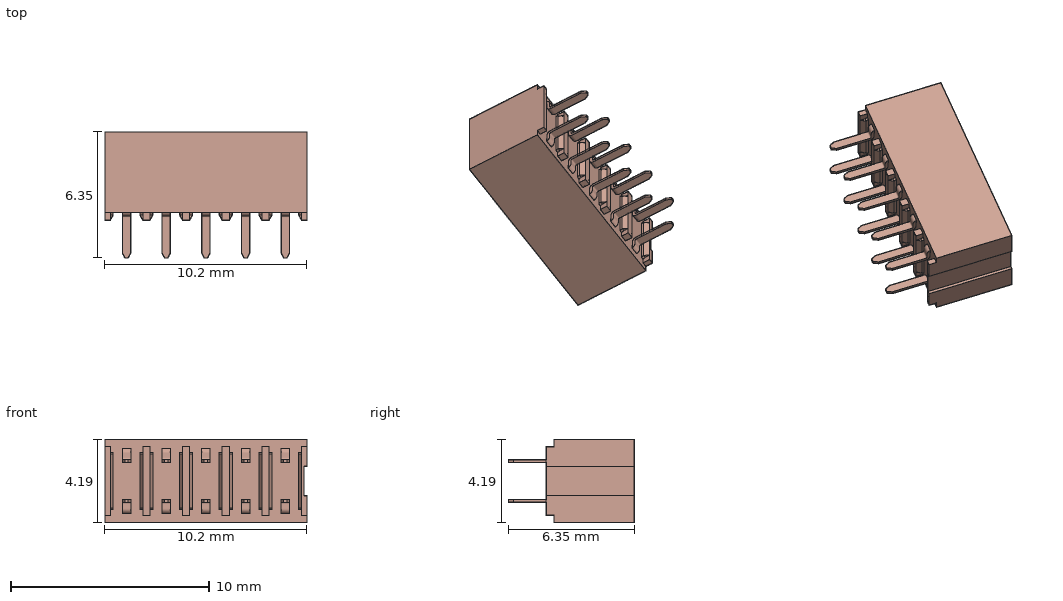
import cadquery as cq
import math

PITCH = 2.0
PINS_PER_ROW = 5
HOUSING_LENGTH = 10.19
HOUSING_HEIGHT = 4.19
OVERALL_DEPTH = 6.35
PIN_REACH = 2.29
HOUSING_DEPTH = OVERALL_DEPTH - PIN_REACH

NOTCH_HEIGHT = 1.48
NOTCH_DEPTH = 0.15

RIB_WIDTH = 0.36
RIB_HEIGHT = 3.47
RIB_REACH = 0.39

BUTTRESS_WIDTH = 0.66
BUTTRESS_STEP = 0.126
BUTTRESS_HEIGHT = 2.87
BUTTRESS_END_SLOPE = 0.07

PIN_WIDTH = 0.43
PIN_THICKNESS = 0.16
PIN_ROW_Z = 1.0
PIN_LEG_GAP = 0.02
PIN_BEND_TOP_Z = 1.65
BEND_INNER_RADIUS = 0.08
BEND_OUTER_RADIUS = BEND_INNER_RADIUS + PIN_THICKNESS
TIP_WIDTH = 0.17
TIP_LENGTH = 0.25
PIN_ROOT_DEPTH = 0.3


def make_housing():
    housing = cq.Workplane("XY").box(
        HOUSING_LENGTH, HOUSING_DEPTH, HOUSING_HEIGHT, centered=(True, False, True)
    )
    return housing


def make_rib(x):
    """Rectangular rib with tapered flanks, running along Z."""
    rib = cq.Workplane("XY").box(RIB_WIDTH, RIB_REACH, RIB_HEIGHT)
    rib = rib.translate((x, -RIB_REACH / 2, 0))

    half_base = BUTTRESS_WIDTH / 2
    half_tip = RIB_WIDTH / 2
    buttress = (
        cq.Workplane("XY")
        .moveTo(-half_base, 0)
        .lineTo(-half_base, -BUTTRESS_STEP)
        .lineTo(-half_tip, -RIB_REACH)
        .lineTo(half_tip, -RIB_REACH)
        .lineTo(half_base, -BUTTRESS_STEP)
        .lineTo(half_base, 0)
        .close()
        .extrude(BUTTRESS_HEIGHT / 2, both=True)
    )

    half_height = BUTTRESS_HEIGHT / 2
    level_z = half_height - BUTTRESS_END_SLOPE
    side_outline = (
        cq.Workplane("YZ")
        .moveTo(0, -half_height)
        .lineTo(-BUTTRESS_STEP, -level_z)
        .lineTo(-RIB_REACH, -level_z)
        .lineTo(-RIB_REACH, level_z)
        .lineTo(-BUTTRESS_STEP, level_z)
        .lineTo(0, half_height)
        .close()
        .extrude(BUTTRESS_WIDTH / 2, both=True)
    )
    buttress = buttress.intersect(side_outline).translate((x, 0, 0))
    return rib.union(buttress)


def make_ribs():
    """Ribs stand midway between pins; the end ribs are cut off flush with the housing sides."""
    first_x = -PINS_PER_ROW * PITCH / 2
    ribs = make_rib(first_x)
    for index in range(1, PINS_PER_ROW + 1):
        ribs = ribs.union(make_rib(first_x + index * PITCH))
    envelope = cq.Workplane("XY").box(HOUSING_LENGTH, 2 * RIB_REACH, HOUSING_HEIGHT)
    return ribs.intersect(envelope)


def make_notch():
    length = HOUSING_DEPTH + RIB_REACH
    notch = cq.Workplane("XY").box(2 * NOTCH_DEPTH, length, NOTCH_HEIGHT)
    return notch.translate((HOUSING_LENGTH / 2, length / 2 - RIB_REACH, 0))


def make_upper_pin():
    """S-bent flat pin at x = 0: root inside the housing, leg down the face, straight pointed tail."""
    tail_top = PIN_ROW_Z + PIN_THICKNESS / 2
    tail_bottom = PIN_ROW_Z - PIN_THICKNESS / 2
    root_bottom = PIN_BEND_TOP_Z - PIN_THICKNESS
    leg_back_y = -PIN_LEG_GAP
    leg_front_y = leg_back_y - PIN_THICKNESS
    root_bend_y = leg_back_y + BEND_INNER_RADIUS
    root_bend_z = PIN_BEND_TOP_Z - BEND_OUTER_RADIUS
    tail_bend_y = leg_back_y - BEND_OUTER_RADIUS
    tail_bend_z = tail_top + BEND_INNER_RADIUS
    diagonal = math.sqrt(0.5)
    inner = BEND_INNER_RADIUS * diagonal
    outer = BEND_OUTER_RADIUS * diagonal

    bent_strip = (
        cq.Workplane("YZ")
        .moveTo(PIN_ROOT_DEPTH, PIN_BEND_TOP_Z)
        .lineTo(root_bend_y, PIN_BEND_TOP_Z)
        .threePointArc((root_bend_y - outer, root_bend_z + outer), (leg_front_y, root_bend_z))
        .lineTo(leg_front_y, tail_bend_z)
        .threePointArc((tail_bend_y + inner, tail_bend_z - inner), (tail_bend_y, tail_top))
        .lineTo(-PIN_REACH, tail_top)
        .lineTo(-PIN_REACH, tail_bottom)
        .lineTo(tail_bend_y, tail_bottom)
        .threePointArc((tail_bend_y + outer, tail_bend_z - outer), (leg_back_y, tail_bend_z))
        .lineTo(leg_back_y, root_bend_z)
        .threePointArc((root_bend_y - inner, root_bend_z + inner), (root_bend_y, root_bottom))
        .lineTo(PIN_ROOT_DEPTH, root_bottom)
        .close()
        .extrude(PIN_WIDTH / 2, both=True)
    )
    taper_start = TIP_LENGTH - PIN_REACH
    pointed_outline = (
        cq.Workplane("XY")
        .moveTo(-PIN_WIDTH / 2, PIN_ROOT_DEPTH)
        .lineTo(-PIN_WIDTH / 2, taper_start)
        .lineTo(-TIP_WIDTH / 2, -PIN_REACH)
        .lineTo(TIP_WIDTH / 2, -PIN_REACH)
        .lineTo(PIN_WIDTH / 2, taper_start)
        .lineTo(PIN_WIDTH / 2, PIN_ROOT_DEPTH)
        .close()
        .extrude(HOUSING_HEIGHT / 2)
    )
    return bent_strip.intersect(pointed_outline)


def add_pins(body):
    """Two rows of pins, the lower row mirrored from the upper one."""
    upper_pin = make_upper_pin()
    lower_pin = upper_pin.mirror("XY")
    for index in range(PINS_PER_ROW):
        x = (index - (PINS_PER_ROW - 1) / 2) * PITCH
        for pin in (upper_pin, lower_pin):
            body = body.union(pin.translate((x, 0, 0)))
    return body


body = make_housing().union(make_ribs()).cut(make_notch())
result = add_pins(body)